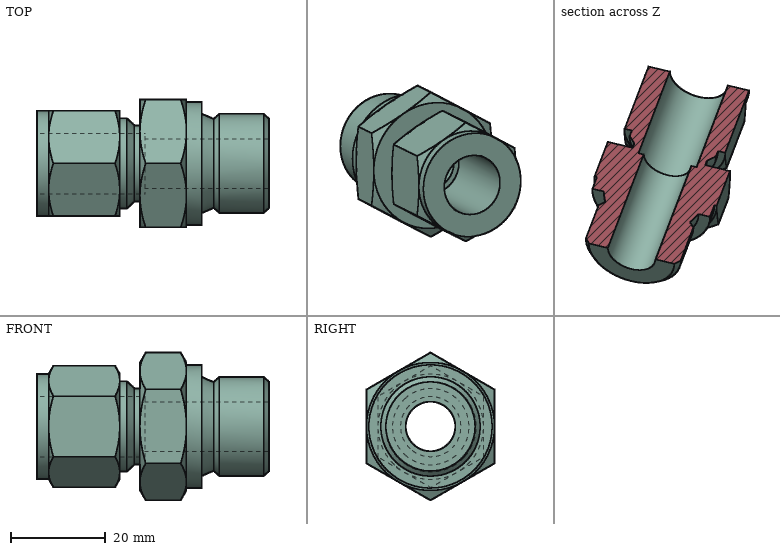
import cadquery as cq
import math


collar_end = 2.5
nut_end = 17.5
neck_taper_start = 19.0
neck_taper_end = 20.6
body_hex_start = 21.75
body_hex_end = 31.55
flange_end = 34.8
undercut_end = 37.3
thread_start = 38.5
total_length = 49.0
end_chamfer_length = 1.2

nut_across_flats = 22.225
body_across_flats = 27.0
corner_chamfer_angle = 30.0

collar_radius = nut_across_flats / 2
neck_large_radius = 9.55
neck_small_radius = 8.05
flange_radius = 13.0
thread_radius = 10.4775
undercut_radius = 9.4
end_face_radius = 9.4

tube_socket_diameter = 12.7
tube_socket_depth = 22.8
bore_diameter = 10.4


def chamfered_hexagon(start, end, across_flats):
    """Hexagonal prism along X whose corners are turned down to a cone at both ends."""
    length = end - start
    corner_radius = across_flats / math.sqrt(3)
    face_radius = across_flats / 2
    chamfer_length = (corner_radius - face_radius) * math.tan(math.radians(corner_chamfer_angle))
    prism = (
        cq.Workplane("YZ", origin=(start, 0, 0))
        .transformed(rotate=(0, 0, 90))
        .polygon(6, 2 * corner_radius)
        .extrude(length)
    )
    envelope = revolve_about_x([
        (start, 0),
        (start, face_radius),
        (start + chamfer_length, corner_radius),
        (end - chamfer_length, corner_radius),
        (end, face_radius),
        (end, 0),
    ])
    return prism.intersect(envelope)


def revolve_about_x(profile):
    """Solid of revolution about X from a closed outline of (x, radius) points."""
    return cq.Workplane("XY").polyline(profile).close().revolve(360, (0, 0, 0), (1, 0, 0))


def turned_body():
    """Every round outside surface: collar, neck, flange, undercut and thread end."""
    return revolve_about_x([
        (0, 0),
        (0, collar_radius),
        (collar_end, collar_radius),
        (collar_end, neck_large_radius),
        (neck_taper_start, neck_large_radius),
        (neck_taper_end, neck_small_radius),
        (body_hex_end, neck_small_radius),
        (body_hex_end, flange_radius),
        (flange_end, flange_radius),
        (flange_end, thread_radius),
        (undercut_end, undercut_radius),
        (thread_start, thread_radius),
        (total_length - end_chamfer_length, thread_radius),
        (total_length, end_face_radius),
        (total_length, 0),
    ])


def bore_along_x(diameter, depth):
    """Round cutter entering from the tube-side face."""
    return cq.Workplane("YZ").circle(diameter / 2).extrude(depth)


nut = chamfered_hexagon(collar_end, nut_end, nut_across_flats)
body_hex = chamfered_hexagon(body_hex_start, body_hex_end, body_across_flats)
tube_socket = bore_along_x(tube_socket_diameter, tube_socket_depth)
through_bore = bore_along_x(bore_diameter, total_length)

result = turned_body().union(nut).union(body_hex).cut(tube_socket).cut(through_bore)